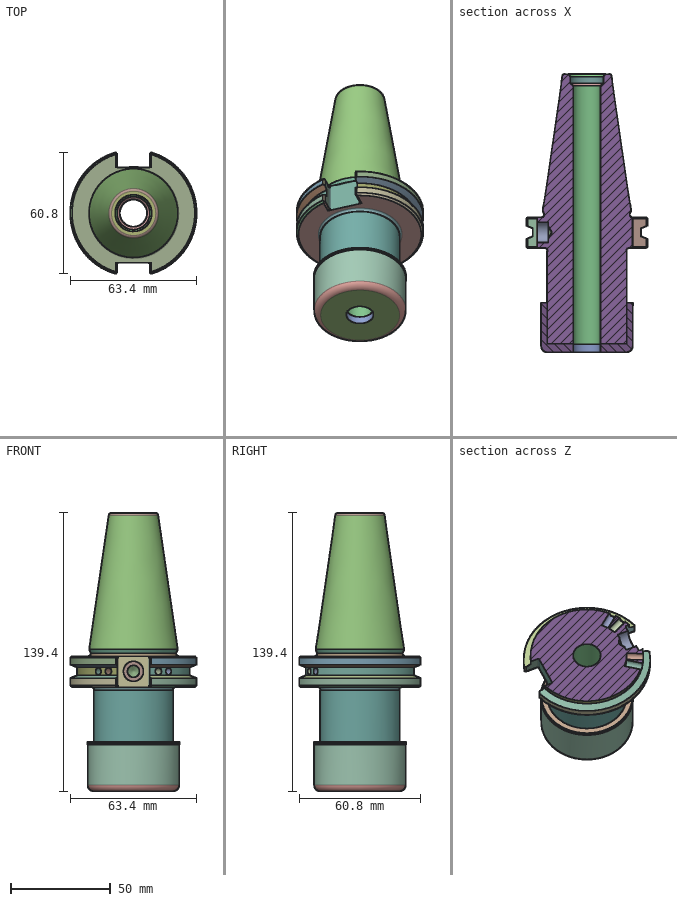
import cadquery as cq
import math

total_height = 139.4

nut_diameter = 46.0
nut_height = 25.0
nut_floor_thickness = 4.2
nut_corner_radius = 3.2
nut_lip_diameter = 46.4
nut_lip_height = 1.5
nut_lip_bevel = 0.4

shank_diameter = 40.0
undercut_diameter = 39.7
undercut_height = 0.4
collar_diameter = 42.0

flange_diameter = 63.4
flange_bottom = 52.1
flange_thickness = 15.6
flange_chamfer = 1.0
groove_diameter = 56.6
groove_center = 60.0
groove_floor_width = 3.9
groove_mouth_width = 6.8

gauge_diameter = 44.5
gauge_height = 71.1
taper_ratio = 7 / 24
taper_end_radius = 1.4
relief_cone_height = 2.0
relief_diameter = 42.9
relief_fillet = 1.1

bore_diameter = 13.5
counterbore_diameter = 16.5
counterbore_depth = 4.6
counterbore_mouth_diameter = 18.4
counterbore_mouth_depth = 1.4

slot_width = 16.2
front_slot_distance = 25.0
rear_slot_distance = 22.9
slot_chamfer = 0.8
slot_floor_fillet = 0.4

seat_diameter = 10.0
seat_depth = 5.6
drill_diameter = 6.0
drill_point_angle = 118.0

radial_hole_diameter = 3.5
radial_hole_depth = 8.4
radial_hole_overrun = 0.7
radial_hole_angles = (26.3, 38.4)

flange_top = flange_bottom + flange_thickness
relief_top = gauge_height - relief_cone_height
taper_end_diameter = gauge_diameter - taper_ratio * (total_height - gauge_height)


def revolve_around_z(outline):
    """Full turn of a closed XZ outline about the Z axis."""
    return outline.revolve(360, (0, 0, 0), (0, 1, 0))


def make_nut():
    """Cap over the shank end, with a beveled lip along its top edge and the bore through its floor."""
    bore_radius = bore_diameter / 2
    recess_radius = shank_diameter / 2
    outer_radius = nut_diameter / 2
    lip_radius = nut_lip_diameter / 2
    lip_bottom = nut_height - nut_lip_height
    outline = (
        cq.Workplane("XZ")
        .moveTo(bore_radius, 0)
        .lineTo(outer_radius - nut_corner_radius, 0)
        .radiusArc((outer_radius, nut_corner_radius), -nut_corner_radius)
        .lineTo(outer_radius, lip_bottom)
        .lineTo(lip_radius, lip_bottom + nut_lip_bevel)
        .lineTo(lip_radius, nut_height - nut_lip_bevel)
        .lineTo(lip_radius - nut_lip_bevel, nut_height)
        .lineTo(recess_radius, nut_height)
        .lineTo(recess_radius, nut_floor_thickness)
        .lineTo(bore_radius, nut_floor_thickness)
        .close()
    )
    return revolve_around_z(outline)


def make_turned_holder():
    """Shank, flange and taper as one turned shape, from the shank end upwards."""
    shank_radius = shank_diameter / 2
    undercut_radius = undercut_diameter / 2
    collar_fillet = collar_diameter / 2 - undercut_radius
    undercut_bottom = flange_bottom - collar_fillet - undercut_height
    flange_radius = flange_diameter / 2
    floor_radius = groove_diameter / 2
    relief_radius = relief_diameter / 2
    gauge_radius = gauge_diameter / 2
    rim_radius = flange_radius - flange_chamfer
    outline = (
        cq.Workplane("XZ")
        .moveTo(0, nut_floor_thickness)
        .lineTo(shank_radius, nut_floor_thickness)
        .lineTo(shank_radius, undercut_bottom)
        .lineTo(undercut_radius, undercut_bottom)
        .lineTo(undercut_radius, flange_bottom - collar_fillet)
        .radiusArc((collar_diameter / 2, flange_bottom), collar_fillet)
        .lineTo(rim_radius, flange_bottom)
        .lineTo(flange_radius, flange_bottom + flange_chamfer)
        .lineTo(flange_radius, groove_center - groove_mouth_width / 2)
        .lineTo(floor_radius, groove_center - groove_floor_width / 2)
        .lineTo(floor_radius, groove_center + groove_floor_width / 2)
        .lineTo(flange_radius, groove_center + groove_mouth_width / 2)
        .lineTo(flange_radius, flange_top - flange_chamfer)
        .lineTo(rim_radius, flange_top)
        .lineTo(relief_radius + relief_fillet, flange_top)
        .radiusArc((relief_radius, flange_top + relief_fillet), relief_fillet)
        .lineTo(relief_radius, relief_top)
        .lineTo(gauge_radius, gauge_height)
        .lineTo(taper_end_diameter / 2, total_height)
        .lineTo(0, total_height)
        .close()
    )
    turned = revolve_around_z(outline)
    return turned.faces(">Z").edges().fillet(taper_end_radius)


def make_bore():
    shoulder_height = (counterbore_diameter - bore_diameter) / 2
    points = [
        (0, 0),
        (bore_diameter / 2, 0),
        (bore_diameter / 2, total_height - counterbore_depth - shoulder_height),
        (counterbore_diameter / 2, total_height - counterbore_depth),
        (counterbore_diameter / 2, total_height - counterbore_mouth_depth),
        (counterbore_mouth_diameter / 2, total_height),
        (0, total_height),
    ]
    return revolve_around_z(cq.Workplane("XZ").polyline(points).close())


def make_slot(distance, side):
    """Cutter for one drive slot on the side of -Y (-1) or +Y (+1), with beveled mouth edges."""
    length = flange_diameter / 2
    center_y = side * (distance + length / 2)
    mouth_width = slot_width + 2 * slot_chamfer
    slot = (
        cq.Workplane("XY")
        .workplane(offset=flange_bottom)
        .center(0, center_y)
        .rect(slot_width, length)
        .extrude(flange_thickness)
        .edges("|Z")
        .fillet(slot_floor_fillet)
    )
    for face_height, inward in ((flange_bottom, 1), (flange_top, -1)):
        bevel = (
            cq.Workplane("XY")
            .workplane(offset=face_height)
            .center(0, center_y)
            .rect(mouth_width, length)
            .workplane(offset=inward * slot_chamfer)
            .rect(slot_width, length)
            .loft(ruled=True)
        )
        slot = slot.union(bevel)
    rim_y = side * math.sqrt((flange_diameter / 2) ** 2 - (mouth_width / 2) ** 2)
    bevel_y = rim_y - side * slot_chamfer
    outer_y = side * flange_diameter / 2
    rim_bevel = (
        cq.Workplane("XY")
        .workplane(offset=flange_bottom)
        .moveTo(-slot_width / 2, bevel_y)
        .lineTo(slot_width / 2, bevel_y)
        .lineTo(mouth_width / 2, rim_y)
        .lineTo(mouth_width / 2, outer_y)
        .lineTo(-mouth_width / 2, outer_y)
        .lineTo(-mouth_width / 2, rim_y)
        .close()
        .extrude(flange_thickness)
    )
    return slot.union(rim_bevel)


def make_stepped_hole():
    """Cutter for the seat and drill point in the -Y slot floor."""
    point_depth = drill_diameter / 2 / math.tan(math.radians(drill_point_angle / 2))
    points = [
        (0, 0),
        (seat_diameter / 2, 0),
        (seat_diameter / 2, seat_depth),
        (drill_diameter / 2, seat_depth),
        (0, seat_depth + point_depth),
    ]
    hole = cq.Workplane("XY").polyline(points).close().revolve(360, (0, 0, 0), (0, 1, 0))
    return hole.translate((0, -front_slot_distance, groove_center))


def make_radial_hole(angle):
    """Cutter for one hole in the groove floor, at an angle measured around Z from -Y."""
    inner_end = groove_diameter / 2 - radial_hole_depth
    hole = (
        cq.Workplane("XZ")
        .workplane(offset=inner_end)
        .center(0, groove_center)
        .circle(radial_hole_diameter / 2)
        .extrude(radial_hole_depth + radial_hole_overrun)
    )
    return hole.rotate((0, 0, 0), (0, 0, 1), angle)


def make_holder():
    holder = make_turned_holder().cut(make_bore())
    holder = holder.cut(make_slot(front_slot_distance, -1))
    holder = holder.cut(make_slot(rear_slot_distance, 1))
    holder = holder.cut(make_stepped_hole())
    for angle in radial_hole_angles:
        for side in (-1, 1):
            holder = holder.cut(make_radial_hole(side * angle))
    return holder


holder = make_holder()
nut = make_nut()
result = cq.Compound.makeCompound([holder.val(), nut.val()])